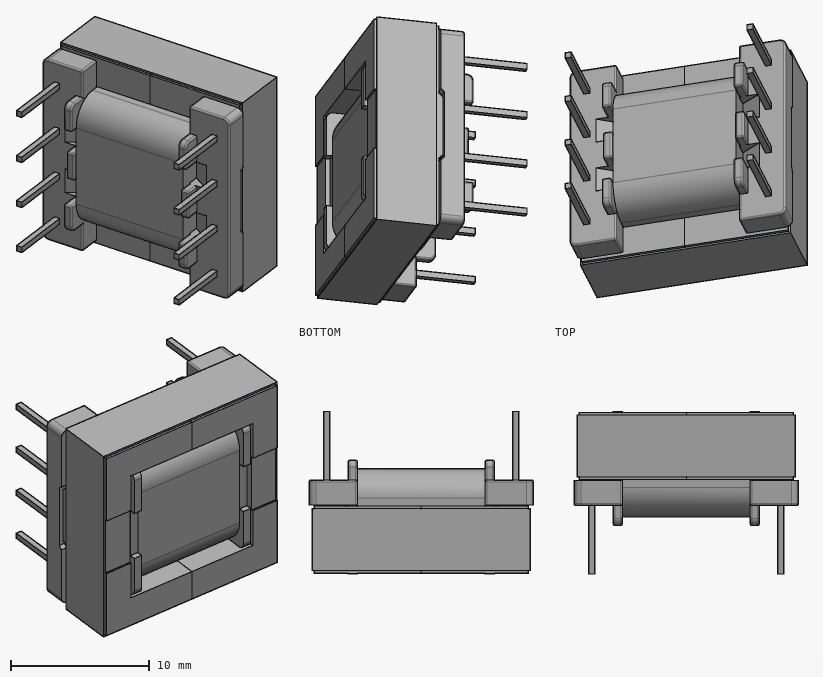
import cadquery as cq
import math


core_half_side = 7.71
core_back = 0.06
core_front = 4.9
window_half_x = 5.5
window_half_z = 5.31
bump_height = 0.32
bump_half_base = 2.55
recess_depth = 0.13
recess_half = 2.29
bump_front = core_front + bump_height
leg_thickness = 2.4
leg_back = bump_front - leg_thickness

tape_thickness = 0.15
tape_back = 0.26
tape_front = 4.71

overall_half_x = 8.07
rail_inner_x = 4.6
rail_half_z = 7.5
rail_back = 4.97
rail_front = 6.78
rail_corner_radius = 0.5
edge_radius = 0.137
passage_half_front = 2.5
passage_half_z = 2.75
flange_thickness = 0.66
flange_half_z = 5.3
flange_corner_radius = 0.5
flange_gap_half = 1.95
outer_lug_front = 8.22
middle_lug_front = 7.86
lug_root = rail_front - 0.48
slot_near_z = 1.11
slot_far_z = 3.08
slot_outer_x = 6.12
slot_slope = 32.0
tube_wall = 0.48
flange_outer_x = rail_inner_x + flange_thickness

pin_side = 0.45
pin_x = 6.8
pin_pitch = 3.75
pin_count = 4
pin_tip = 11.72
pin_root = rail_front - 0.97

winding_half_z = flange_half_z
winding_front = 7.6
winding_radius = 2.13
leg_middle = (leg_back + bump_front) / 2
winding_back = 2 * leg_middle - winding_front


def block(x0, x1, depth0, depth1, z0, z1):
    """Box between two X values, two depths and two Z values."""
    return cq.Workplane("XY").box(
        x1 - x0, depth1 - depth0, z1 - z0, centered=False
    ).translate((x0, -depth1, z0))


def mirrored(body):
    """The same body on the other side of the YZ plane."""
    return body.mirror("YZ")


def symmetric_prism(upper, x0, x1):
    """Prism from x0 to x1; upper lists its (depth, z) corners above z = 0, mirrored below."""
    lower = [(depth, -z) for depth, z in reversed(upper)]
    outline = [(-depth, z) for depth, z in upper + lower]
    return cq.Workplane("YZ").polyline(outline).close().extrude(x1 - x0).translate((x0, 0, 0))


def make_core_half():
    """Left half: yoke with forward bump, two outer legs and an offset centre leg."""
    bump_half_top = bump_half_base - bump_height
    recess_floor = core_back + recess_depth
    body = symmetric_prism(
        [
            (bump_front, bump_half_top),
            (core_front, bump_half_base),
            (core_front, core_half_side),
            (core_back, core_half_side),
            (core_back, recess_half),
            (recess_floor, recess_half),
        ],
        -core_half_side,
        0,
    )
    window = block(-window_half_x, 0, 0, bump_front, -window_half_z, window_half_z)
    leg = symmetric_prism(
        [(bump_front, bump_half_top), (core_front, bump_half_base), (leg_back, bump_half_base)],
        -window_half_x,
        0,
    )
    return body.cut(window).union(leg)


def make_tape():
    """Closed square band wrapped around the core."""
    outer = core_half_side + tape_thickness
    inner = core_half_side
    band = block(-outer, outer, tape_back, tape_front, -outer, outer)
    return band.cut(block(-inner, inner, tape_back, tape_front, -inner, inner))


def make_rail():
    """Left pin rail with rounded corners and edges."""
    rail = block(-overall_half_x, -rail_inner_x, rail_back, rail_front, -rail_half_z, rail_half_z)
    rail = rail.edges("|Y and <X").fillet(rail_corner_radius)
    return rail.edges("<Y or (|Y and >X)").fillet(edge_radius)


def make_flange():
    """Left flange plate inside the core window, open in the middle of its back edge."""
    plate = block(-flange_outer_x, -rail_inner_x, 0, lug_root, -flange_half_z, flange_half_z)
    plate = plate.edges("|X and >Y").fillet(flange_corner_radius)
    gap = block(-flange_outer_x, -rail_inner_x, 0, winding_back, -flange_gap_half, flange_gap_half)
    return plate.cut(gap)


def make_slot(z0):
    """Wedge whose sloped floor leads a wire from the rail face down to the winding."""
    drop = (slot_outer_x - rail_inner_x) * math.tan(math.radians(slot_slope))
    outline = [
        (-slot_outer_x, -rail_front),
        (-rail_inner_x, -rail_front),
        (-rail_inner_x, drop - rail_front),
    ]
    height = slot_far_z - slot_near_z
    return cq.Workplane("XY").polyline(outline).close().extrude(height).translate((0, 0, z0))


def make_outer_lug():
    """Upper lug at the end of the left flange, with one large rounded corner."""
    lug = block(-flange_outer_x, -rail_inner_x, lug_root, outer_lug_front, slot_far_z, flange_half_z)
    lug = lug.edges("|X and <Y and >Z").fillet(flange_corner_radius)
    return lug.faces("<X or >X or <Z").edges("not >Y").fillet(edge_radius)


def make_middle_lug():
    """Shorter lug between the two wire slots of the left flange."""
    lug = block(-flange_outer_x, -rail_inner_x, lug_root, middle_lug_front, -slot_near_z, slot_near_z)
    return lug.edges("not >Y").fillet(edge_radius)


def make_pin(z):
    """Square pin of the left rail."""
    half = pin_side / 2
    return block(-pin_x - half, -pin_x + half, pin_root, pin_tip, z - half, z + half)


def make_bobbin_side():
    """Left rail, flange, lugs and pins in one piece."""
    side = make_rail().union(make_flange())
    for z0 in (slot_near_z, -slot_far_z):
        side = side.cut(make_slot(z0))
    outer_lug = make_outer_lug()
    side = side.union(outer_lug).union(outer_lug.mirror("XY")).union(make_middle_lug())
    for i in range(pin_count):
        side = side.union(make_pin((i - (pin_count - 1) / 2) * pin_pitch))
    return side


def make_tube():
    """Solid core of the winding tube, from flange to flange."""
    half_z = passage_half_z + tube_wall
    return block(
        -rail_inner_x, rail_inner_x, leg_back - tube_wall, bump_front + tube_wall, -half_z, half_z
    )


def make_bobbin():
    """Both sides joined by the tube, with a passage for the centre legs and core bumps."""
    side = make_bobbin_side()
    passage = symmetric_prism(
        [
            (bump_front, passage_half_front),
            (rail_back, passage_half_z),
            (leg_back, passage_half_z),
        ],
        -overall_half_x,
        overall_half_x,
    )
    return side.union(mirrored(side)).union(make_tube()).cut(passage)


def make_winding():
    """Wire coil with rounded corners, hollow where it sits on the tube."""
    coil = block(
        -rail_inner_x, rail_inner_x, winding_back, winding_front, -winding_half_z, winding_half_z
    )
    return coil.edges("|X").fillet(winding_radius).cut(make_tube())


core_left = make_core_half()
core_right = mirrored(core_left)
tape = make_tape()
bobbin = make_bobbin()
winding = make_winding()

result = cq.Compound.makeCompound(
    [core_left.val(), core_right.val(), tape.val(), bobbin.val(), winding.val()]
)